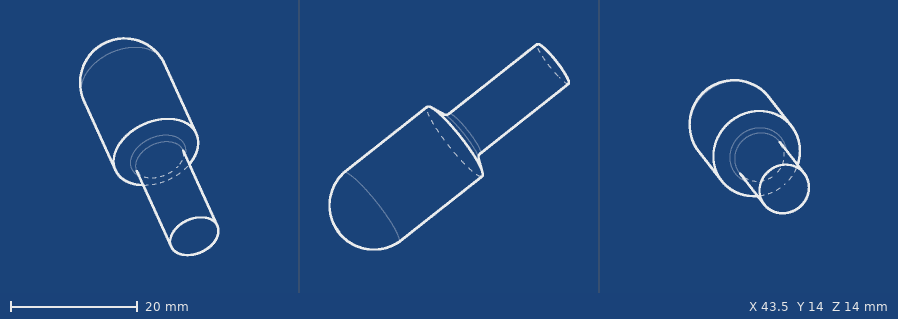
import cadquery as cq
import math

total_length = 43.5
head_radius = 7.0
shank_radius = 4.0
nose_length = 6.5
head_length = 23.5
neck_cone_angle = math.radians(65.0)
neck_fillet_radius = 1.0

nose_tip = -total_length / 2
nose_end = nose_tip + nose_length
head_end = nose_tip + head_length
shank_end = total_length / 2

nose_radius = (nose_length**2 + head_radius**2) / (2 * nose_length)
nose_centre = nose_tip + nose_radius
half_cap_angle = math.asin(head_radius / nose_radius) / 2
nose_middle = (
    nose_centre - nose_radius * math.cos(half_cap_angle),
    nose_radius * math.sin(half_cap_angle),
)

cone_end_radius = shank_radius + neck_fillet_radius * (1 - math.cos(neck_cone_angle))
cone_length = (head_radius - cone_end_radius) / math.tan(neck_cone_angle)
shank_start = head_end + cone_length + neck_fillet_radius * math.sin(neck_cone_angle)


def neck_fillet_point(angle):
    """Point on the neck fillet, swept by angle from the shank."""
    return (
        shank_start - neck_fillet_radius * math.sin(angle),
        shank_radius + neck_fillet_radius * (1 - math.cos(angle)),
    )


profile = (
    cq.Workplane("XY")
    .moveTo(nose_tip, 0)
    .threePointArc(nose_middle, (nose_end, head_radius))
    .lineTo(head_end, head_radius)
    .lineTo(*neck_fillet_point(neck_cone_angle))
    .threePointArc(neck_fillet_point(neck_cone_angle / 2), (shank_start, shank_radius))
    .lineTo(shank_end, shank_radius)
    .lineTo(shank_end, 0)
    .close()
)

result = profile.revolve(360, (0, 0, 0), (1, 0, 0))